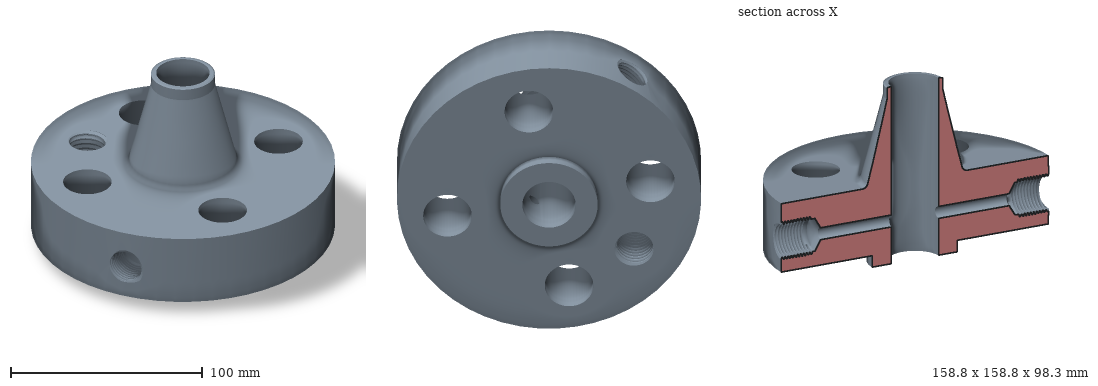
import cadquery as cq
import math

FLANGE_DIAMETER = 158.75
FLANGE_THICKNESS = 38.1
FACE_DIAMETER = 50.8
FACE_HEIGHT = 6.35
OVERALL_HEIGHT = 98.3

PIPE_DIAMETER = 33.4
PIPE_LENGTH = 6.7
BEVEL_WIDTH = 0.8
BEVEL_HEIGHT = 0.45
NECK_BASE_DIAMETER = 57.5
NECK_FILLET = 3.0
BORE_DIAMETER = 27.86

BOLT_CIRCLE_DIAMETER = 107.95
BOLT_HOLE_DIAMETER = 25.4
BOLT_COUNT = 4
FIRST_BOLT_ANGLE = 45

JACK_MINOR_DIAMETER = 19.1
JACK_MAJOR_DIAMETER = 22.2
JACK_PITCH = 25.4 / 9
JACK_RUN_OUT = 0.7 * JACK_PITCH
JACK_START_ANGLE = 20

TAP_MINOR_DIAMETER = 17.8
TAP_MAJOR_DIAMETER = 20.8
TAP_PITCH = 25.4 / 14
TAP_DEPTH = 20.0
TAP_HEIGHT = 23.8
TAP_DRILL_POINT_ANGLE = 118
TAP_HOLE_DIAMETER = 6.35
TAP_START_ANGLE = 50

GROOVE_MOUTH_SHARE = 0.85
GROOVE_ROOT_SHARE = 0.1
GROOVE_OVERLAP = 0.2

FLANGE_RADIUS = FLANGE_DIAMETER / 2
FLANGE_BOTTOM = FACE_HEIGHT
FLANGE_TOP = FLANGE_BOTTOM + FLANGE_THICKNESS
BOLT_CIRCLE_RADIUS = BOLT_CIRCLE_DIAMETER / 2


def make_body():
    """Raised face, flange plate and filleted tapering neck as one turned body."""
    face_radius = FACE_DIAMETER / 2
    pipe_radius = PIPE_DIAMETER / 2
    body = (
        cq.Workplane("XZ")
        .moveTo(0, 0)
        .lineTo(face_radius, 0)
        .lineTo(face_radius, FLANGE_BOTTOM)
        .lineTo(FLANGE_RADIUS, FLANGE_BOTTOM)
        .lineTo(FLANGE_RADIUS, FLANGE_TOP)
        .lineTo(NECK_BASE_DIAMETER / 2, FLANGE_TOP)
        .lineTo(pipe_radius, OVERALL_HEIGHT - PIPE_LENGTH)
        .lineTo(pipe_radius, OVERALL_HEIGHT - BEVEL_HEIGHT)
        .lineTo(pipe_radius - BEVEL_WIDTH, OVERALL_HEIGHT)
        .lineTo(0, OVERALL_HEIGHT)
        .close()
        .revolve(360, (0, 0, 0), (0, 1, 0))
    )
    neck_corner = cq.selectors.RadiusNthSelector(-2)
    return body.edges("%CIRCLE").edges(neck_corner).fillet(NECK_FILLET)


def make_bolt_holes():
    """Evenly spaced bolt holes through the flange."""
    return (
        cq.Workplane("XY", origin=(0, 0, FLANGE_BOTTOM))
        .polarArray(BOLT_CIRCLE_RADIUS, FIRST_BOLT_ANGLE, 360, BOLT_COUNT)
        .circle(BOLT_HOLE_DIAMETER / 2)
        .extrude(FLANGE_THICKNESS)
    )


def make_thread_groove(minor_diameter, major_diameter, pitch, length, start_angle):
    """Helical groove around +Z, climbing from Z = 0 to the given length."""
    inner_radius = minor_diameter / 2 - GROOVE_OVERLAP
    outer_radius = major_diameter / 2
    half_mouth = pitch * GROOVE_MOUTH_SHARE / 2
    half_root = pitch * GROOVE_ROOT_SHARE / 2
    path = cq.Workplane(obj=cq.Wire.makeHelix(pitch, length, inner_radius))
    return (
        cq.Workplane("XZ")
        .moveTo(inner_radius, -half_mouth)
        .lineTo(outer_radius, -half_root)
        .lineTo(outer_radius, half_root)
        .lineTo(inner_radius, half_mouth)
        .close()
        .sweep(path, isFrenet=True)
        .rotate((0, 0, 0), (0, 0, 1), start_angle)
    )


def cut_jack_hole(body):
    """Threaded through hole; the groove runs out past both flange faces."""
    hole = cq.Workplane("XY").circle(JACK_MINOR_DIAMETER / 2).extrude(FLANGE_THICKNESS)
    groove_length = FLANGE_THICKNESS + 2 * JACK_RUN_OUT
    groove = make_thread_groove(
        JACK_MINOR_DIAMETER, JACK_MAJOR_DIAMETER, JACK_PITCH, groove_length, JACK_START_ANGLE
    ).translate((0, 0, -JACK_RUN_OUT))
    position = (-BOLT_CIRCLE_RADIUS, 0, FLANGE_BOTTOM)
    return body.cut(hole.translate(position)).cut(groove.translate(position))


def make_tap_tools():
    """Pressure tap cutters along +Z, with the flange axis at Z = 0."""
    socket_radius = TAP_MINOR_DIAMETER / 2
    socket_floor = FLANGE_RADIUS - TAP_DEPTH
    point_height = socket_radius / math.tan(math.radians(TAP_DRILL_POINT_ANGLE / 2))
    socket = (
        cq.Workplane("XZ")
        .moveTo(0, socket_floor - point_height)
        .lineTo(socket_radius, socket_floor)
        .lineTo(socket_radius, FLANGE_RADIUS)
        .lineTo(0, FLANGE_RADIUS)
        .close()
        .revolve(360, (0, 0, 0), (0, 1, 0))
    )
    hole = cq.Workplane("XY").circle(TAP_HOLE_DIAMETER / 2).extrude(FLANGE_RADIUS)
    groove = make_thread_groove(
        TAP_MINOR_DIAMETER, TAP_MAJOR_DIAMETER, TAP_PITCH, TAP_DEPTH, TAP_START_ANGLE
    ).translate((0, 0, socket_floor + TAP_PITCH))
    return [socket.union(hole), groove]


def cut_pressure_taps(body):
    """Two opposite taps in the flange rim, at a set height above the raised face."""
    tools = make_tap_tools()
    for tilt in (90, -90):
        for tool in tools:
            aimed = tool.rotate((0, 0, 0), (1, 0, 0), tilt)
            body = body.cut(aimed.translate((0, 0, TAP_HEIGHT)))
    return body


def make_bore():
    """Straight bore through the whole part."""
    return cq.Workplane("XY").circle(BORE_DIAMETER / 2).extrude(OVERALL_HEIGHT)


result = make_body().cut(make_bore()).cut(make_bolt_holes())
result = cut_jack_hole(result)
result = cut_pressure_taps(result)